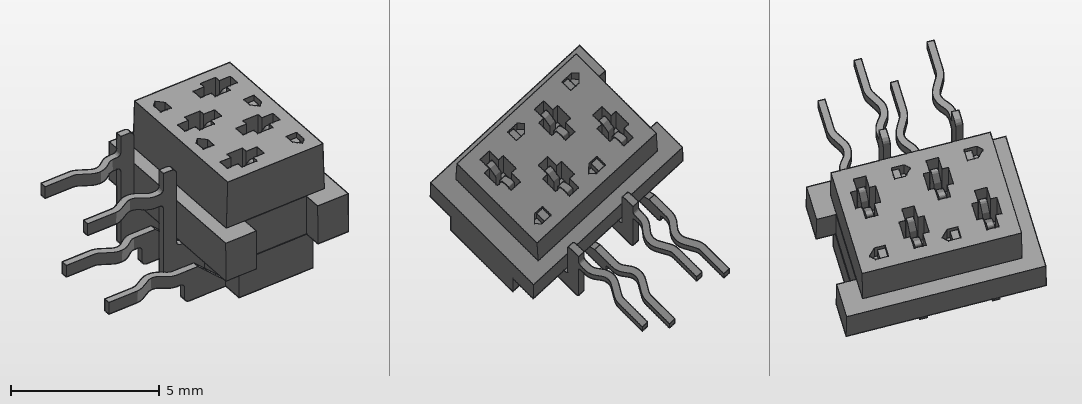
import cadquery as cq
import math


total_height = 5.0
flange_length = 7.01
flange_draft = 0.02
flange_width = 5.0
flange_bottom = 1.52
flange_top = 3.1
notch_floor_x = 2.81
notch_width = 2.5
upper_length = 5.58
upper_width_bottom = 4.0
upper_width_top = 3.885
lower_right_x = 2.83
lower_width = 3.02

column_pitch = 1.27
row_offset = 0.75
contact_thickness = 0.25

socket_length = 1.51
socket_slot_width = 0.43
socket_wide_length = 0.62
socket_wide_width = 0.88
socket_floor = flange_top

prong_top = 4.67
prong_gap = 0.175
prong_outer = 0.56
lead_in_reach = 0.3
lead_in_angle = 45.0
prong_outer_round = 0.08
lead_in_lower_round = 0.16
lead_in_upper_round = 0.13

pocket_inner_y = 1.14
pocket_outer_y = 1.56
pocket_point_y = 1.39
pocket_flat_offset = 0.15
pocket_ledge_length = 0.27
pocket_length = 0.62
pocket_ledge_depth = 0.22
pocket_depth = 0.7

plate_front = -3.18
plate_rear = 1.96
plate_foot_round = 0.19
heel_shoulder = 0.17
heel_lip = 0.105
post_rear = -2.64
post_top = 4.64
post_round = 0.245
gutter_floor = 1.39
gutter_rear = -1.84
gutter_round = 0.17
ramp_angle = 43.0

pin_tip = flange_width / 2 - 8.77
pin_height = 0.49
upper_pin_z = 3.57
lower_pin_z = 1.05
upper_root_round = 0.16
lower_root_round = 0.18
kink_start = -3.65
kink_peak = -4.24
kink_end = -5.01
kink_offset = 0.44
kink_radius = 0.52


def box_between(x0, x1, y0, y1, z0, z1):
    return cq.Workplane("XY").box(x1 - x0, y1 - y0, z1 - z0, centered=False).translate((x0, y0, z0))


def make_housing():
    half_length = flange_length / 2
    flange = (
        cq.Workplane("XZ")
        .polyline([
            (-half_length, flange_bottom),
            (half_length, flange_bottom),
            (half_length - flange_draft, flange_top),
            (flange_draft - half_length, flange_top),
        ])
        .close()
        .extrude(flange_width / 2, both=True)
    )
    notch = box_between(
        notch_floor_x, half_length, -notch_width / 2, notch_width / 2, flange_bottom, flange_top
    )
    upper = (
        cq.Workplane("YZ")
        .polyline([
            (-upper_width_bottom / 2, flange_top),
            (upper_width_bottom / 2, flange_top),
            (upper_width_top / 2, total_height),
            (-upper_width_top / 2, total_height),
        ])
        .close()
        .extrude(upper_length / 2, both=True)
    )
    lower = box_between(
        -half_length, lower_right_x, -lower_width / 2, lower_width / 2, 0, flange_bottom
    )
    return flange.cut(notch).union(upper).union(lower)


def make_socket(x, y):
    depth = total_height - socket_floor
    top = cq.Workplane("XY", origin=(x, y, total_height))
    slot = top.rect(socket_slot_width, socket_length).extrude(-depth)
    wide = top.rect(socket_wide_width, socket_wide_length).extrude(-depth)
    return slot.union(wide)


def make_prongs(x, y):
    inner = prong_gap / 2
    lead_in_drop = lead_in_reach * math.tan(math.radians(lead_in_angle))
    prong = (
        cq.Workplane("YZ")
        .polyline([
            (inner, socket_floor),
            (prong_outer, socket_floor),
            (prong_outer, prong_top),
            (inner + lead_in_reach, prong_top),
            (inner, prong_top - lead_in_drop),
        ])
        .close()
        .extrude(contact_thickness / 2, both=True)
    )
    prong = prong.edges("|X and >Y and >Z").fillet(prong_outer_round)
    upper_corner = cq.NearestToPointSelector((0, inner + lead_in_reach, prong_top))
    prong = prong.edges("|X").edges(upper_corner).fillet(lead_in_upper_round)
    lower_corner = cq.NearestToPointSelector((0, inner, prong_top - lead_in_drop))
    prong = prong.edges("|X").edges(lower_corner).fillet(lead_in_lower_round)
    return prong.union(prong.mirror("XZ")).translate((x, y, 0))


def make_pocket(column_x, row, direction):
    """Pocket with a square point along X (direction +1 or -1), on the +Y (+1) or -Y (-1) row."""
    flat = column_x - direction * pocket_flat_offset
    ledge_end = flat + direction * pocket_ledge_length
    point = flat + direction * pocket_length
    inner_shoulder = point - direction * (pocket_point_y - pocket_inner_y)
    outer_shoulder = point - direction * (pocket_outer_y - pocket_point_y)
    deep_part = (
        cq.Workplane("XY", origin=(0, 0, total_height))
        .polyline([
            (ledge_end, row * pocket_inner_y),
            (inner_shoulder, row * pocket_inner_y),
            (point, row * pocket_point_y),
            (outer_shoulder, row * pocket_outer_y),
            (ledge_end, row * pocket_outer_y),
        ])
        .close()
        .extrude(-pocket_depth)
    )
    ledge_part = (
        cq.Workplane("XY", origin=(0, 0, total_height))
        .moveTo((flat + ledge_end) / 2, row * (pocket_inner_y + pocket_outer_y) / 2)
        .rect(pocket_ledge_length, pocket_outer_y - pocket_inner_y)
        .extrude(-pocket_ledge_depth)
    )
    return deep_part.union(ledge_part)


def extrude_plate(profile, x):
    return profile.close().extrude(contact_thickness / 2, both=True).translate((x, 0, 0))


def make_tall_plate(x):
    """Plate with a post that rises beside the flange and a heel behind the lower block."""
    gutter_top = gutter_floor + gutter_round
    profile = (
        cq.Workplane("YZ")
        .moveTo(plate_front + plate_foot_round, 0)
        .lineTo(plate_rear - plate_foot_round, 0)
        .radiusArc((plate_rear, plate_foot_round), -plate_foot_round)
        .lineTo(plate_rear, flange_bottom - heel_lip - heel_shoulder)
        .lineTo(plate_rear - heel_shoulder, flange_bottom - heel_lip)
        .lineTo(plate_rear - heel_shoulder, gutter_top)
        .lineTo(gutter_rear, gutter_top)
        .radiusArc((gutter_rear - gutter_round, gutter_floor), gutter_round)
        .lineTo(post_rear + gutter_round, gutter_floor)
        .radiusArc((post_rear, gutter_top), gutter_round)
        .lineTo(post_rear, post_top - post_round)
        .radiusArc((post_rear - post_round, post_top), -post_round)
        .lineTo(plate_front, post_top)
        .lineTo(plate_front, plate_foot_round)
        .radiusArc((plate_front + plate_foot_round, 0), -plate_foot_round)
    )
    return extrude_plate(profile, x)


def make_short_plate(x):
    """Plate level with the lower pin, with a ramp falling from its shoulder to the lower block."""
    pin_top = lower_pin_z + pin_height / 2
    block_face = -lower_width / 2
    ramp_foot = pin_top - (block_face - post_rear) * math.tan(math.radians(ramp_angle))
    profile = (
        cq.Workplane("YZ")
        .moveTo(plate_front + plate_foot_round, 0)
        .lineTo(block_face, 0)
        .lineTo(block_face, ramp_foot)
        .lineTo(post_rear, pin_top)
        .lineTo(plate_front, pin_top)
        .lineTo(plate_front, plate_foot_round)
        .radiusArc((plate_front + plate_foot_round, 0), -plate_foot_round)
    )
    return extrude_plate(profile, x)


def make_pin(x, z, direction):
    """Flat pin with a kink towards +X or -X."""
    corners = cq.Wire.makePolygon([
        cq.Vector(x, plate_front, z),
        cq.Vector(x, kink_start, z),
        cq.Vector(x + direction * kink_offset, kink_peak, z),
        cq.Vector(x, kink_end, z),
        cq.Vector(x, pin_tip, z),
    ])
    path = corners.fillet(kink_radius)
    section = cq.Workplane("XZ", origin=(x, plate_front, z)).rect(contact_thickness, pin_height)
    return section.sweep(cq.Workplane(path))


def make_root_fillet(x, z, side, radius):
    """Concave fillet between plate and pin, on the upper (+1) or lower (-1) side of the pin."""
    edge = z + side * pin_height / 2
    half_thickness = contact_thickness / 2
    block = box_between(-half_thickness, half_thickness, -radius, 0, 0, radius)
    hollow = (
        cq.Workplane("YZ")
        .circle(radius)
        .extrude(contact_thickness, both=True)
        .translate((0, -radius, radius))
    )
    web = block.cut(hollow)
    if side < 0:
        web = web.mirror("XY")
    return web.translate((x, plate_front, edge))


result = make_housing()

for column in range(4):
    x = (column - 1.5) * column_pitch
    tall = column % 2 == 0
    row = 1 if tall else -1
    kink_direction = 1 if column < 2 else -1

    result = result.cut(make_socket(x, row * row_offset))
    result = result.union(make_prongs(x, row * row_offset))
    result = result.cut(make_pocket(x, -row, -row))

    if tall:
        result = result.union(make_tall_plate(x))
        result = result.union(make_pin(x, upper_pin_z, kink_direction))
        result = result.union(make_root_fillet(x, upper_pin_z, 1, upper_root_round))
        result = result.union(make_root_fillet(x, upper_pin_z, -1, upper_root_round))
    else:
        result = result.union(make_short_plate(x))
        result = result.union(make_pin(x, lower_pin_z, kink_direction))
        result = result.union(make_root_fillet(x, lower_pin_z, -1, lower_root_round))